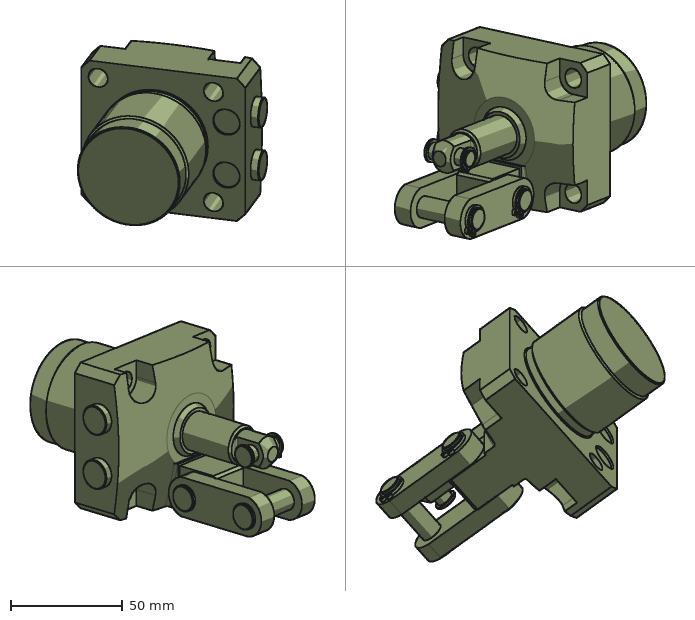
import cadquery as cq
import math


BLOCK_LEFT = 35.0
BLOCK_RIGHT = 42.0
BLOCK_HALF_HEIGHT = 35.0
CORNER_CUT = 4.0
CAP_TOP = 32.7
CAP_FLAT_RADIUS = 17.0
CAP_SLOPE = 15
PAD_ROOT = 19.9

HOLE_OFFSET = 27.0
HOLE_RADIUS = 4.5
SPOT_FACE = 17.1
SPOT_RADIUS = 7.5

PORT_SPACING = 26.0
PORT_X = 33.1
PORT_RADIUS = 6.2
PORT_DEPTH = 1.0
PLUG_RADIUS = 6.9
PLUG_LENGTH = 3.8
PLUG_Y = 14.8
PLUG_CHAMFER = 0.4

BARREL_LENGTH = 42.4
BARREL_RADIUS = 25.0
BARREL_NECK_RADIUS = 24.0
BARREL_FLARE = 0.5
BARREL_STEP = 0.8
BARREL_FULL_START = 4.9
BARREL_FULL_END = 31.7

COLLAR_TOP = 35.4
COLLAR_BASE_RADIUS = 12.3
COLLAR_TOP_RADIUS = 10.7
ROD_RADIUS = 9.1
ROD_SHOULDER = 63.6
ROD_BEVEL = 1.0
TIP_RADIUS = 7.5
TIP_END = 81.1
TIP_BEVEL = 4.0
TIP_THICKNESS = 10.1
TIP_ROOT_RADIUS = 1.0
ROD_PIN_Y = 73.0

TOTAL_LENGTH = 132.5
LINK_GAP = 19.1
LINK_THICKNESS = 8.9
LINK_WIDTH = 19.0
LINK_END_RADIUS = 9.7
PIVOT_SPACING = 35.5
PIVOT_Z = -24.5
UPPER_PIVOT_Y = TOTAL_LENGTH - BARREL_LENGTH - LINK_END_RADIUS
LOWER_PIVOT_Y = UPPER_PIVOT_Y - PIVOT_SPACING

LUG_TOP = -14.3
LUG_END = 55.4
LUG_CHAMFER = 1.3
PAD_HALF_WIDTH = 10.6
PAD_TOP = -13.2
PAD_END = 34.2
PAD_FILLET = 1.3

LINK_PIN_RADIUS = 5.0
ROD_PIN_RADIUS = 4.0
PIN_EDGE = 0.4


def revolved(points):
    """Solid of revolution about Y from (radius, y) points."""
    return cq.Workplane("XY").polyline(points).close().revolve(360, (0, 0, 0), (0, 1, 0))


def x_cylinder(radius, x_start, length, y, z):
    return cq.Workplane("YZ", origin=(x_start, y, z)).circle(radius).extrude(length)


def y_cylinder(radius, y_start, length, x, z):
    return cq.Workplane("XZ", origin=(x, y_start, z)).circle(radius).extrude(-length)


def box(x_range, y_range, z_range):
    corner = (x_range[0], y_range[0], z_range[0])
    size = (x_range[1] - x_range[0], y_range[1] - y_range[0], z_range[1] - z_range[0])
    return cq.Workplane("XY", origin=corner).box(*size, centered=False)


def snap_ring(inner_radius, outer_radius, thickness, ear_reach, ear_radius, ear_spread, direction):
    """Open retaining ring in the YZ plane with two eared ends; angles are in degrees from +Y."""
    ear_hole_share = 0.4
    mouth = 2 * ear_reach * math.sin(math.radians(ear_spread)) - 2 * ear_radius
    ring = cq.Workplane("YZ").circle(outer_radius).extrude(thickness)
    centres = []
    for side in (-1, 1):
        angle = math.radians(direction + side * ear_spread)
        centres.append((ear_reach * math.cos(angle), ear_reach * math.sin(angle)))
    ears = cq.Workplane("YZ").pushPoints(centres).circle(ear_radius).extrude(thickness)
    holes = cq.Workplane("YZ").pushPoints(centres).circle(ear_hole_share * ear_radius).extrude(thickness)
    slot = (
        cq.Workplane("YZ")
        .transformed(rotate=(0, 0, direction))
        .center(ear_reach / 2, 0)
        .rect(ear_reach, mouth)
        .extrude(thickness)
    )
    bore = cq.Workplane("YZ").circle(inner_radius).extrude(thickness)
    return ring.union(ears).cut(holes).cut(slot).cut(bore)


def headed_pin(radius, grip, head_radius, head_thickness, ring_thickness, tail, ring):
    """Pin along X with its head at +X and a snap ring holding the -X end."""
    head_start = grip / 2
    head_end = head_start + head_thickness
    tail_end = -grip / 2 - ring_thickness - tail
    profile = [
        (tail_end, 0),
        (tail_end, radius - PIN_EDGE),
        (tail_end + PIN_EDGE, radius),
        (head_start, radius),
        (head_start, head_radius),
        (head_end - PIN_EDGE, head_radius),
        (head_end, head_radius - PIN_EDGE),
        (head_end, 0),
    ]
    shank = cq.Workplane("XY").polyline(profile).close().revolve(360, (0, 0, 0), (1, 0, 0))
    return shank.union(ring.translate((-grip / 2 - ring_thickness, 0, 0)))


def make_block():
    """Flange block: arc-trimmed corners at -X, bevelled corners at +X, conical cap."""
    left, right, half = -BLOCK_LEFT, BLOCK_RIGHT, BLOCK_HALF_HEIGHT
    inner = half - CORNER_CUT
    arc_radius = math.hypot(BLOCK_LEFT, inner)
    arc_mid = arc_radius / math.sqrt(2)
    block = (
        cq.Workplane("XZ")
        .moveTo(right - CORNER_CUT, -half)
        .lineTo(right, -inner)
        .lineTo(right, inner)
        .lineTo(right - CORNER_CUT, half)
        .lineTo(left + CORNER_CUT, half)
        .threePointArc((-arc_mid, arc_mid), (left, inner))
        .lineTo(left, -inner)
        .threePointArc((-arc_mid, -arc_mid), (left + CORNER_CUT, -half))
        .close()
        .extrude(-CAP_TOP)
    )
    reach = BLOCK_LEFT + BLOCK_RIGHT
    cap_drop = (reach - CAP_FLAT_RADIUS) * math.tan(math.radians(CAP_SLOPE))
    cap = revolved([
        (0, 0),
        (reach, 0),
        (reach, CAP_TOP - cap_drop),
        (CAP_FLAT_RADIUS, CAP_TOP),
        (0, CAP_TOP),
    ])
    return block.intersect(cap)


def add_lug(block):
    """Lug between the link plates, standing on a slightly wider pad blended into the cap."""
    bottom = -BLOCK_HALF_HEIGHT
    pad = box((-PAD_HALF_WIDTH, PAD_HALF_WIDTH), (PAD_ROOT, PAD_END), (bottom, PAD_TOP))
    margin = 0.7
    pad_foot = cq.selectors.BoxSelector(
        (-PAD_HALF_WIDTH - margin, SPOT_FACE, bottom + margin),
        (PAD_HALF_WIDTH + margin, CAP_TOP, PAD_TOP - margin),
    )
    lug = box((-LINK_GAP / 2, LINK_GAP / 2), (PAD_ROOT, LUG_END), (bottom, LUG_TOP))
    lug = lug.faces(">Y").edges("|X").chamfer(LUG_CHAMFER)
    body = block.union(pad).edges(pad_foot).fillet(PAD_FILLET)
    return body.union(lug)


def cut_mounting_holes(body):
    """Four through holes; spot faces are open corners at -X and vertical slots at +X."""
    height = COLLAR_TOP - SPOT_FACE
    slot_end = BLOCK_HALF_HEIGHT + SPOT_RADIUS
    outer_x = BLOCK_LEFT + SPOT_RADIUS
    for z_side in (-1, 1):
        hole_z = z_side * HOLE_OFFSET
        z_range = sorted((hole_z, z_side * slot_end))
        for x_side in (-1, 1):
            hole_x = x_side * HOLE_OFFSET
            body = body.cut(y_cylinder(HOLE_RADIUS, 0, CAP_TOP, hole_x, hole_z))
            body = body.cut(y_cylinder(SPOT_RADIUS, SPOT_FACE, height, hole_x, hole_z))
            slot_x = (hole_x - SPOT_RADIUS, hole_x + SPOT_RADIUS)
            body = body.cut(box(slot_x, (SPOT_FACE, COLLAR_TOP), z_range))
        side_z = sorted((z_side * (HOLE_OFFSET - SPOT_RADIUS), z_side * slot_end))
        body = body.cut(box((-outer_x, -HOLE_OFFSET), (SPOT_FACE, COLLAR_TOP), side_z))
    return body


def add_ports(body):
    """Two shallow port recesses in the front face and two plugs on the +X side."""
    for side in (-1, 1):
        port_z = side * PORT_SPACING / 2
        body = body.cut(y_cylinder(PORT_RADIUS, 0, PORT_DEPTH, PORT_X, port_z))
        plug = x_cylinder(PLUG_RADIUS, BLOCK_RIGHT, PLUG_LENGTH, PLUG_Y, port_z)
        body = body.union(plug.faces(">X").chamfer(PLUG_CHAMFER))
    return body


def make_barrel():
    return revolved([
        (0, 0),
        (BARREL_NECK_RADIUS + BARREL_FLARE, 0),
        (BARREL_NECK_RADIUS, -BARREL_FLARE),
        (BARREL_NECK_RADIUS, BARREL_STEP - BARREL_FULL_START),
        (BARREL_RADIUS, -BARREL_FULL_START),
        (BARREL_RADIUS, -BARREL_FULL_END),
        (BARREL_NECK_RADIUS, -BARREL_FULL_END - BARREL_STEP),
        (BARREL_NECK_RADIUS, BARREL_FLARE - BARREL_LENGTH),
        (BARREL_NECK_RADIUS - BARREL_FLARE, -BARREL_LENGTH),
        (0, -BARREL_LENGTH),
    ])


def make_rod():
    """Wiper collar, rod and its flattened tip."""
    collar = revolved([
        (0, CAP_TOP),
        (COLLAR_BASE_RADIUS, CAP_TOP),
        (COLLAR_TOP_RADIUS, COLLAR_TOP),
        (0, COLLAR_TOP),
    ])
    rod = revolved([
        (0, CAP_TOP),
        (ROD_RADIUS, CAP_TOP),
        (ROD_RADIUS, ROD_SHOULDER - ROD_BEVEL),
        (ROD_RADIUS - ROD_BEVEL, ROD_SHOULDER),
        (TIP_RADIUS, ROD_SHOULDER),
        (TIP_RADIUS, TIP_END - TIP_BEVEL),
        (TIP_RADIUS - TIP_BEVEL, TIP_END),
        (0, TIP_END),
    ])
    for side in (-1, 1):
        x_range = sorted((side * TIP_THICKNESS / 2, side * ROD_RADIUS))
        relief = box(x_range, (ROD_SHOULDER, TIP_END), (-ROD_RADIUS, ROD_RADIUS))
        inner_face = "<X" if side > 0 else ">X"
        relief = relief.faces(inner_face).edges("<Y").fillet(TIP_ROOT_RADIUS)
        rod = rod.cut(relief)
    return collar.union(rod)


def make_rod_pin():
    ring_thickness = 0.9
    ring = snap_ring(
        inner_radius=ROD_PIN_RADIUS, outer_radius=5.2, thickness=ring_thickness,
        ear_reach=5.5, ear_radius=0.9, ear_spread=12, direction=-68,
    )
    pin = headed_pin(
        radius=ROD_PIN_RADIUS, grip=LINK_GAP, head_radius=5.3, head_thickness=1.5,
        ring_thickness=ring_thickness, tail=0.8, ring=ring,
    )
    return pin.translate((0, ROD_PIN_Y, 0))


def make_cylinder():
    body = add_lug(make_block())
    body = cut_mounting_holes(body)
    body = add_ports(body)
    body = body.union(make_barrel()).union(make_rod()).union(make_rod_pin())
    pin_hole = x_cylinder(LINK_PIN_RADIUS, -LINK_GAP / 2, LINK_GAP, LOWER_PIVOT_Y, PIVOT_Z)
    return body.cut(pin_hole)


def make_link(side):
    """Round-ended link plate with a pin hole at each pivot."""
    inner_x = LINK_GAP / 2 if side > 0 else -LINK_GAP / 2 - LINK_THICKNESS
    half_width = LINK_WIDTH / 2
    corner_overhang = math.sqrt(LINK_END_RADIUS**2 - half_width**2)
    lower_corner = LOWER_PIVOT_Y - corner_overhang
    upper_corner = UPPER_PIVOT_Y + corner_overhang
    plate = (
        cq.Workplane("YZ", origin=(inner_x, 0, PIVOT_Z))
        .moveTo(lower_corner, -half_width)
        .lineTo(upper_corner, -half_width)
        .threePointArc((UPPER_PIVOT_Y + LINK_END_RADIUS, 0), (upper_corner, half_width))
        .lineTo(lower_corner, half_width)
        .threePointArc((LOWER_PIVOT_Y - LINK_END_RADIUS, 0), (lower_corner, -half_width))
        .close()
        .extrude(LINK_THICKNESS)
    )
    for pivot_y in (LOWER_PIVOT_Y, UPPER_PIVOT_Y):
        plate = plate.cut(x_cylinder(LINK_PIN_RADIUS, inner_x, LINK_THICKNESS, pivot_y, PIVOT_Z))
    return plate


def make_link_pin(pivot_y):
    ring_thickness = 1.5
    ring = snap_ring(
        inner_radius=LINK_PIN_RADIUS, outer_radius=6.1, thickness=ring_thickness,
        ear_reach=6.9, ear_radius=1.5, ear_spread=16.5, direction=-60,
    )
    pin = headed_pin(
        radius=LINK_PIN_RADIUS, grip=LINK_GAP + 2 * LINK_THICKNESS, head_radius=6.1, head_thickness=1.6,
        ring_thickness=ring_thickness, tail=1.5, ring=ring,
    )
    return pin.translate((0, pivot_y, PIVOT_Z))


cylinder = make_cylinder()
links = [make_link(side) for side in (-1, 1)]
link_pins = [make_link_pin(pivot_y) for pivot_y in (LOWER_PIVOT_Y, UPPER_PIVOT_Y)]

result = cq.Compound.makeCompound([
    cylinder.val(),
    *[link.val() for link in links],
    *[pin.val() for pin in link_pins],
])